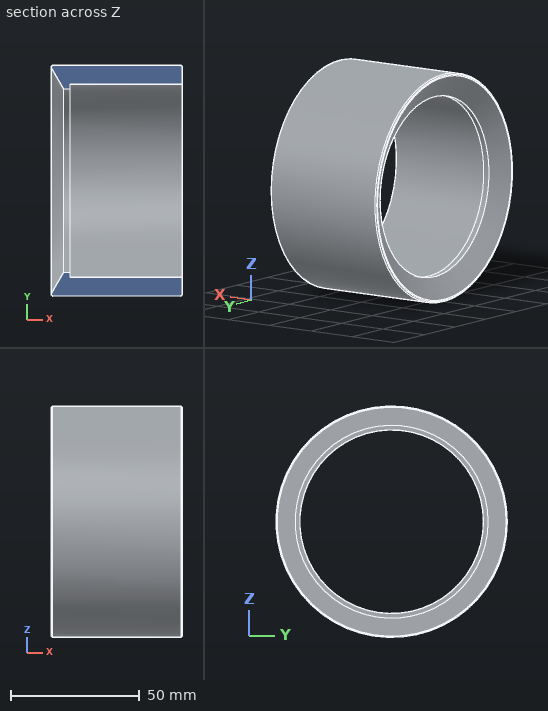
import cadquery as cq
import math

length = 51.0
outer_diameter = 90.0
throat_diameter = 71.25
bore_diameter = 75.0
edge_chamfer = 0.5
rim_width = 0.5
cone_half_angle = 60.0
throat_length = 2.5

outer_radius = outer_diameter / 2
throat_radius = throat_diameter / 2
bore_radius = bore_diameter / 2
rim_outer_radius = outer_radius - edge_chamfer
cone_mouth_radius = rim_outer_radius - rim_width
cone_depth = (cone_mouth_radius - throat_radius) / math.tan(math.radians(cone_half_angle))

mouth_x = -length / 2
back_x = length / 2
throat_start_x = mouth_x + cone_depth
throat_end_x = throat_start_x + throat_length


def sleeve_section():
    """Half section of the wall, from the mouth rim over the outside and back through the bore."""
    return (
        cq.Workplane("XY")
        .moveTo(mouth_x, cone_mouth_radius)
        .lineTo(mouth_x, rim_outer_radius)
        .lineTo(mouth_x + edge_chamfer, outer_radius)
        .lineTo(back_x - edge_chamfer, outer_radius)
        .lineTo(back_x, rim_outer_radius)
        .lineTo(back_x, bore_radius)
        .lineTo(throat_end_x, bore_radius)
        .lineTo(throat_end_x, throat_radius)
        .lineTo(throat_start_x, throat_radius)
        .close()
    )


result = sleeve_section().revolve(360, (0, 0, 0), (1, 0, 0))